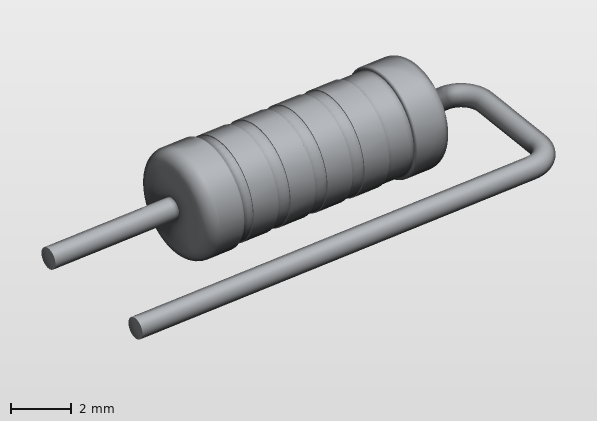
import cadquery as cq

overall_length = 17.38
overall_width = 7.35

body_length = 10.0
cap_diameter = 4.0
cap_length = 1.55
cap_outer_fillet = 0.5
cap_inner_fillet = 0.09
barrel_diameter = 3.74

band_diameter = 3.82
band_width = 1.0
band_pitch = 1.5
band_count = 4
band_group_offset = -0.31

wire_diameter = 0.8
front_lead_length = 5.0
bend_radius = 0.97

body_front = -body_length / 2
body_back = body_length / 2
lead_end = body_front - front_lead_length
loop_y = lead_end + overall_length - wire_diameter / 2
return_x = overall_width - cap_diameter / 2 - wire_diameter / 2


def rod(diameter, y_start, length):
    """Solid cylinder on the Y axis, extending towards +Y from y_start."""
    base = cq.Workplane(cq.Plane((0, y_start, 0), xDir=(1, 0, 0), normal=(0, 1, 0)))
    return base.circle(diameter / 2).extrude(length)


def front_cap():
    """End cap with a large outer round and a small round at its inner edge."""
    cap = rod(cap_diameter, body_front, cap_length)
    cap = cap.faces("<Y").edges().fillet(cap_outer_fillet)
    return cap.faces(">Y").edges().fillet(cap_inner_fillet)


def body():
    """Barrel with an end cap at each end and a row of raised bands."""
    barrel_length = body_length - cap_length
    shape = rod(barrel_diameter, -barrel_length / 2, barrel_length)
    cap = front_cap()
    shape = shape.union(cap).union(cap.mirror("XZ"))
    first_centre = band_group_offset - band_pitch * (band_count - 1) / 2
    for index in range(band_count):
        band_start = first_centre + index * band_pitch - band_width / 2
        shape = shape.union(rod(band_diameter, band_start, band_width))
    return shape


def bent_lead():
    """Lead leaving the back cap, turning twice and returning beside the body."""
    start_y = body_back - cap_length / 2
    bend_y = loop_y - bend_radius
    path = (
        cq.Workplane("XY")
        .moveTo(0, start_y)
        .lineTo(0, bend_y)
        .tangentArcPoint((bend_radius, loop_y), relative=False)
        .lineTo(return_x - bend_radius, loop_y)
        .tangentArcPoint((return_x, bend_y), relative=False)
        .lineTo(return_x, lead_end)
    )
    section = cq.Workplane(cq.Plane((0, start_y, 0), xDir=(1, 0, 0), normal=(0, 1, 0)))
    return section.circle(wire_diameter / 2).sweep(path)


straight_lead = rod(wire_diameter, lead_end, front_lead_length + cap_length / 2)

result = body().union(straight_lead).union(bent_lead())